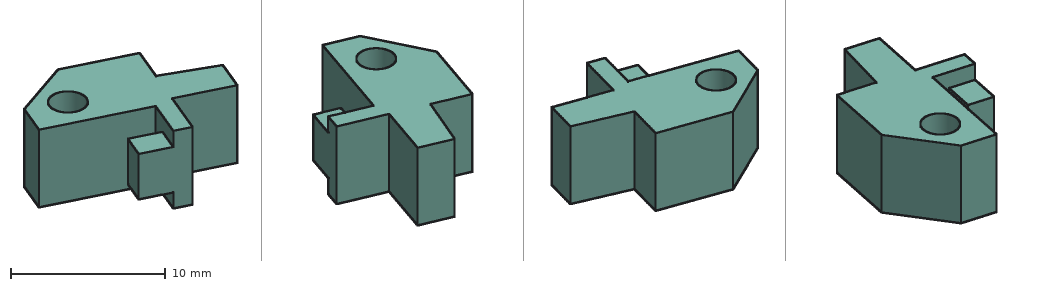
import cadquery as cq

width = 9.65
length = 13.95
height = 5.95

body_width = 6.43
body_length = 9.43
bevel_x = 3.74
bevel_y = 3.77

tongue_root_left = 2.99
tongue_tip_left = 3.29
tongue_right = 5.93

arm_thickness = 1.34
arm_front = body_length - arm_thickness

block_width = 1.98
block_length = 2.4
block_height = 3.49

hole_diameter = 2.58
hole_x = 3.93
hole_y = 2.96


def make_profile():
    """Body, arm and tongue extruded together to the full height."""
    outline = [
        (bevel_x, 0),
        (body_width, 0),
        (body_width, arm_front),
        (width, arm_front),
        (width, body_length),
        (tongue_right, body_length),
        (tongue_right, length),
        (tongue_tip_left, length),
        (tongue_root_left, body_length),
        (0, body_length),
        (0, bevel_y),
    ]
    return cq.Workplane("XY").polyline(outline).close().extrude(height)


def make_block():
    """Block hanging off the outer end of the arm."""
    corner = (width - block_width, arm_front - block_length, (height - block_height) / 2)
    return cq.Workplane("XY").box(block_width, block_length, block_height, centered=False).translate(corner)


def make_hole():
    """Cylinder that cuts the through hole."""
    return cq.Workplane("XY").center(hole_x, hole_y).circle(hole_diameter / 2).extrude(height)


result = make_profile().union(make_block()).cut(make_hole())